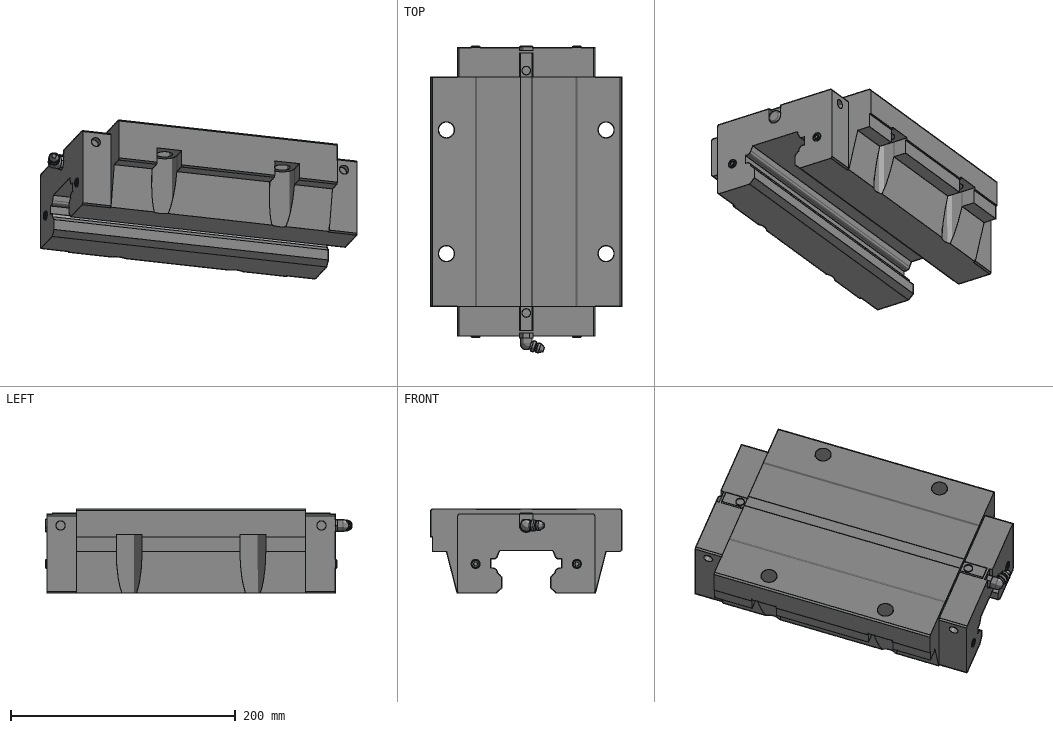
import math

import cadquery as cq

BLOCK_LENGTH = 204.0
FLANGE_WIDTH = 170.0
HEIGHT = 75.0
FLANGE_STEP_Z = 50.0
FLANGE_STEP_DEPTH = 1.5
FLANGE_UNDERSIDE_Z = 37.0
FLANK_TOP_HALF_WIDTH = 71.0
FLANK_BOTTOM_HALF_WIDTH = 61.5
FLANGE_CHAMFER = 1.5

PAD_HALF_WIDTH = 45.0
RELIEF_DEPTH = 0.2
RELIEF_TAPER = 0.8
STRIP_HALF_WIDTH = 5.3

CHANNEL_ROOF_Z = 37.8
CHANNEL_ROOF_HALF_WIDTH = 23.5
UPPER_LAND_X = 25.6
UPPER_LAND_Z = 33.4
UPPER_ARC_MIDDLE = (26.6, 31.4)
UPPER_ARC_END_X = 28.6
POCKET_HALF_WIDTH = 31.4
POCKET_TOP_Z = 30.4
POCKET_BOTTOM_Z = 22.4
LOWER_ARC_START_X = 29.6
LOWER_ARC_MIDDLE = (26.8, 21.1)
LOWER_LAND_X = 25.6
LOWER_LAND_Z = 18.2
THROAT_HALF_WIDTH = 21.6
THROAT_TOP_Z = 14.2
THROAT_BOTTOM_Z = 4.8
MOUTH_HALF_WIDTH = 26.8

HOLE_PITCH_X = 142.0
HOLE_PITCH_Y = 110.0
HOLE_DIAMETER = 14.0
CLEARANCE_DIAMETER = 23.0
CLEARANCE_CEILING_Z = 52.0

CAP_WIDTH = 122.4
CAP_HEIGHT = 70.2
CAP_THICKNESS = 21.4
SEAL_THICKNESS = 4.9
CAP_CHAMFER = 1.4
CAP_STRIP_HEIGHT = 0.9
CAP_STRIP_TAPER = 0.9
TOP_PORT_DIAMETER = 7.6
TOP_PORT_DEPTH = 1.0
PORT_SETBACK = 5.8
SIDE_PORT_DIAMETER = 8.2
SIDE_PORT_DEPTH = 6.0
SIDE_PORT_SETBACK = 14.0
FITTING_Z = 60.2

HEX_SIDES = 6
SCREW_X = 45.0
SCREW_Z = 26.0
SCREW_HEAD_DIAMETER = 8.0
SCREW_HEAD_HEIGHT = 1.3
SCREW_HEAD_CHAMFER = 0.8
SCREW_SOCKET_SIZE = 4.0
SCREW_SOCKET_DEPTH = 1.0

SEAT_WIDTH = 12.2
SEAT_DEPTH = 2.8
PLUG_RADIUS = 6.0
PLUG_ROUNDING = 1.5
NIPPLE_BASE_LENGTH = 4.6
NIPPLE_RADIUS = 5.2
ELBOW_OVERHANG = 7.0
OVERALL_LENGTH = 272.92

NOZZLE_ANGLE = 18.0
NOZZLE_STEM_RADIUS = 3.6
NOZZLE_TIP_RADIUS = 2.0
NOZZLE_LENGTH = 16.4
COLLAR_RADIUS = 4.9
COLLAR_START = 5.5
COLLAR_END = 8.0
COLLAR_BEVEL = 1.0
BARREL_START = 10.2
BARREL_END = 12.5

FLANGE_HALF_WIDTH = FLANGE_WIDTH / 2
BLOCK_END_Y = BLOCK_LENGTH / 2
CAP_END_Y = BLOCK_END_Y + CAP_THICKNESS
SEAL_END_Y = CAP_END_Y + SEAL_THICKNESS
HEAD_END_Y = SEAL_END_Y + SCREW_HEAD_HEIGHT
SEAT_Y = SEAL_END_Y - SEAT_DEPTH
ELBOW_Y = SEAL_END_Y + ELBOW_OVERHANG
NIPPLE_REACH_Y = OVERALL_LENGTH - HEAD_END_Y
NOZZLE_TILT = math.radians(NOZZLE_ANGLE)
BARREL_RADIUS = (NIPPLE_REACH_Y - ELBOW_Y - BARREL_END * math.sin(NOZZLE_TILT)) / math.cos(NOZZLE_TILT)


def extrude_along_y(profile, start, end):
    """Extrude an XZ profile from y = start to y = end."""
    return profile.extrude(start - end).translate((0, start, 0))


def half_block(side, lower_side):
    """Half of the block, without the rail channel.

    lower_side lists the (x, z) points of the lower flange edge.
    """
    points = [
        (0, 0),
        (FLANK_BOTTOM_HALF_WIDTH, 0),
        (FLANK_TOP_HALF_WIDTH, FLANGE_UNDERSIDE_Z),
        *lower_side,
        (FLANGE_HALF_WIDTH, HEIGHT - FLANGE_CHAMFER),
        (FLANGE_HALF_WIDTH - FLANGE_CHAMFER, HEIGHT),
        (PAD_HALF_WIDTH, HEIGHT),
        (PAD_HALF_WIDTH - RELIEF_TAPER, HEIGHT - RELIEF_DEPTH),
        (STRIP_HALF_WIDTH, HEIGHT - RELIEF_DEPTH),
        (STRIP_HALF_WIDTH, HEIGHT),
        (0, HEIGHT),
    ]
    profile = cq.Workplane("XZ").polyline([(side * x, z) for x, z in points]).close()
    return extrude_along_y(profile, -BLOCK_END_Y, BLOCK_END_Y)


def half_channel(side):
    """Half of the rail channel, running through the block and both ends."""
    def at(x, z):
        return side * x, z

    profile = (
        cq.Workplane("XZ")
        .moveTo(*at(0, CHANNEL_ROOF_Z))
        .lineTo(*at(CHANNEL_ROOF_HALF_WIDTH, CHANNEL_ROOF_Z))
        .lineTo(*at(UPPER_LAND_X, UPPER_LAND_Z))
        .threePointArc(at(*UPPER_ARC_MIDDLE), at(UPPER_ARC_END_X, POCKET_TOP_Z))
        .lineTo(*at(POCKET_HALF_WIDTH, POCKET_TOP_Z))
        .lineTo(*at(POCKET_HALF_WIDTH, POCKET_BOTTOM_Z))
        .lineTo(*at(LOWER_ARC_START_X, POCKET_BOTTOM_Z))
        .threePointArc(at(*LOWER_ARC_MIDDLE), at(LOWER_LAND_X, LOWER_LAND_Z))
        .lineTo(*at(THROAT_HALF_WIDTH, THROAT_TOP_Z))
        .lineTo(*at(THROAT_HALF_WIDTH, THROAT_BOTTOM_Z))
        .lineTo(*at(MOUTH_HALF_WIDTH, 0))
        .lineTo(*at(0, 0))
        .close()
    )
    return extrude_along_y(profile, -SEAL_END_Y, SEAL_END_Y)


def mounting_hole(x, y):
    """Through hole plus the screw-head recess that opens out through the flange side."""
    side = math.copysign(1, x)
    run_out = FLANGE_HALF_WIDTH - abs(x)
    hole = cq.Workplane("XY").center(x, y).circle(HOLE_DIAMETER / 2).extrude(HEIGHT)
    recess = cq.Workplane("XY").center(x, y).circle(CLEARANCE_DIAMETER / 2).extrude(CLEARANCE_CEILING_Z)
    opening = (
        cq.Workplane("XY")
        .center(x + side * run_out / 2, y)
        .rect(run_out, CLEARANCE_DIAMETER)
        .extrude(CLEARANCE_CEILING_Z)
    )
    return hole.union(recess).union(opening)


def end_cap():
    """End cap and seal at the +Y end, without the rail channel."""
    length = SEAL_END_Y - BLOCK_END_Y
    cap = (
        cq.Workplane("XY")
        .box(CAP_WIDTH, length, CAP_HEIGHT, centered=(True, False, False))
        .edges("|Y")
        .chamfer(CAP_CHAMFER)
        .translate((0, BLOCK_END_Y, 0))
    )
    strip_base = STRIP_HALF_WIDTH + CAP_STRIP_TAPER
    strip_top_z = CAP_HEIGHT + CAP_STRIP_HEIGHT
    strip = extrude_along_y(
        cq.Workplane("XZ")
        .polyline([
            (-strip_base, CAP_HEIGHT),
            (strip_base, CAP_HEIGHT),
            (STRIP_HALF_WIDTH, strip_top_z),
            (-STRIP_HALF_WIDTH, strip_top_z),
        ])
        .close(),
        BLOCK_END_Y,
        CAP_END_Y,
    )
    cap = cap.union(strip)
    top_port = (
        cq.Workplane("XY", origin=(0, BLOCK_END_Y + PORT_SETBACK, strip_top_z - TOP_PORT_DEPTH))
        .circle(TOP_PORT_DIAMETER / 2)
        .extrude(TOP_PORT_DEPTH)
    )
    cap = cap.cut(top_port)
    for side in (-1, 1):
        side_port = (
            cq.Workplane("YZ", origin=(side * CAP_WIDTH / 2, BLOCK_END_Y + SIDE_PORT_SETBACK, FITTING_Z))
            .circle(SIDE_PORT_DIAMETER / 2)
            .extrude(-side * SIDE_PORT_DEPTH)
        )
        cap = cap.cut(side_port)
    return cap.cut(fitting_seat())


def fitting_seat():
    """Round-bottomed slot in the end seal, open at the top."""
    half = SEAT_WIDTH / 2
    profile = (
        cq.Workplane("XZ")
        .moveTo(-half, CAP_HEIGHT)
        .lineTo(-half, FITTING_Z)
        .threePointArc((0, FITTING_Z - half), (half, FITTING_Z))
        .lineTo(half, CAP_HEIGHT)
        .close()
    )
    return extrude_along_y(profile, SEAT_Y, SEAL_END_Y)


def seal_screw(x):
    """Socket screw head on the +Y end seal."""
    head = (
        cq.Workplane("XZ", origin=(x, SEAL_END_Y, SCREW_Z))
        .circle(SCREW_HEAD_DIAMETER / 2)
        .extrude(-SCREW_HEAD_HEIGHT)
        .faces(">Y")
        .chamfer(SCREW_HEAD_CHAMFER)
    )
    socket = (
        cq.Workplane("XZ", origin=(x, HEAD_END_Y, SCREW_Z))
        .polygon(HEX_SIDES, SCREW_SOCKET_SIZE)
        .extrude(SCREW_SOCKET_DEPTH)
    )
    return head.cut(socket)


def end_assembly():
    """Cap, seal and screw heads of the +Y end."""
    end = end_cap()
    for side in (-1, 1):
        end = end.union(seal_screw(side * SCREW_X))
    return end


def plug():
    """Round-edged plug closing the grease port at the +Y end."""
    return (
        cq.Workplane("XZ", origin=(0, SEAT_Y, FITTING_Z))
        .circle(PLUG_RADIUS)
        .extrude(SEAT_Y - HEAD_END_Y)
        .faces(">Y")
        .edges()
        .fillet(PLUG_ROUNDING)
    )


def nozzle():
    """Collared nozzle, tilted from +X toward -Y about the elbow centre."""
    outline = [
        (0, 0),
        (0, NOZZLE_STEM_RADIUS),
        (COLLAR_START, NOZZLE_STEM_RADIUS),
        (COLLAR_START, COLLAR_RADIUS),
        (COLLAR_END, COLLAR_RADIUS),
        (COLLAR_END + COLLAR_BEVEL, NOZZLE_STEM_RADIUS),
        (BARREL_START, NOZZLE_STEM_RADIUS),
        (BARREL_START, BARREL_RADIUS),
        (BARREL_END, BARREL_RADIUS),
        (NOZZLE_LENGTH, NOZZLE_TIP_RADIUS),
        (NOZZLE_LENGTH, 0),
    ]
    return (
        cq.Workplane("XY")
        .polyline(outline)
        .close()
        .revolve(360, (0, 0, 0), (1, 0, 0))
        .rotate((0, 0, 0), (0, 0, 1), -NOZZLE_ANGLE)
        .translate((0, -ELBOW_Y, FITTING_Z))
    )


def nipple():
    """Elbow grease nipple at the -Y end: hex base, neck, ball elbow and nozzle."""
    base = (
        cq.Workplane("XZ", origin=(0, -SEAT_Y, FITTING_Z))
        .polygon(HEX_SIDES, SEAT_WIDTH)
        .extrude(NIPPLE_BASE_LENGTH)
    )
    neck = (
        cq.Workplane("XZ", origin=(0, -SEAT_Y, FITTING_Z))
        .circle(NIPPLE_RADIUS)
        .extrude(ELBOW_Y - SEAT_Y)
    )
    ball = cq.Workplane("XY").sphere(NIPPLE_RADIUS).translate((0, -ELBOW_Y, FITTING_Z))
    return base.union(neck).union(ball).union(nozzle())


chamfered_side = [
    (FLANGE_HALF_WIDTH - FLANGE_CHAMFER, FLANGE_UNDERSIDE_Z),
    (FLANGE_HALF_WIDTH, FLANGE_UNDERSIDE_Z + FLANGE_CHAMFER),
]
stepped_side = [
    (FLANGE_HALF_WIDTH - FLANGE_STEP_DEPTH, FLANGE_UNDERSIDE_Z),
    (FLANGE_HALF_WIDTH - FLANGE_STEP_DEPTH, FLANGE_STEP_Z),
    (FLANGE_HALF_WIDTH, FLANGE_STEP_Z),
]
block = half_block(1, chamfered_side).union(half_block(-1, stepped_side))
for x_side in (-1, 1):
    for y_side in (-1, 1):
        block = block.cut(mounting_hole(x_side * HOLE_PITCH_X / 2, y_side * HOLE_PITCH_Y / 2))

rear_end = end_assembly()
front_end = rear_end.mirror("XZ")
body = block.union(rear_end).union(front_end)
body = body.cut(half_channel(1).union(half_channel(-1)))

result = body.union(plug()).union(nipple())